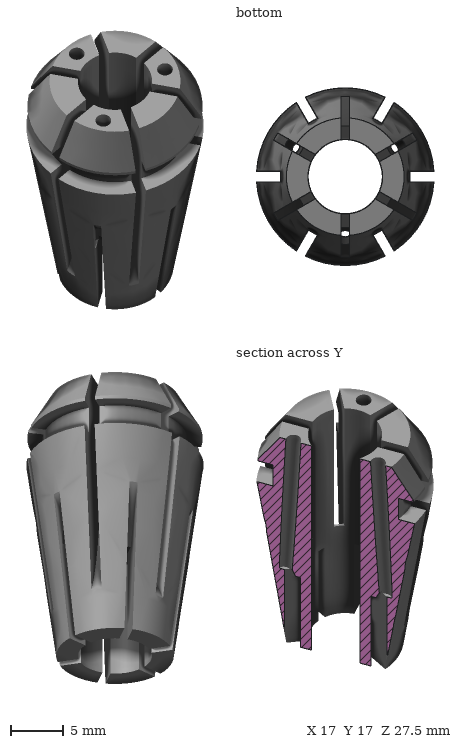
import cadquery as cq
import math


TOTAL_HEIGHT = 27.5
GROOVE_BOTTOM = 20.75
GROOVE_TOP = 23.5
RIM_HEIGHT = 0.35

SMALL_END_RADIUS = 5.63
BODY_RADIUS = 8.5
GROOVE_RADIUS = 6.95
RIM_RADIUS = 8.37
BORE_RADIUS = 3.55
NOSE_HALF_ANGLE = 30.0

SLOTS_PER_END = 6
SLOT_PITCH = 360.0 / SLOTS_PER_END
SAW_RADIUS = 25.0
OUTSIDE_RADIUS = BODY_RADIUS + 1.0

UPPER_SLOT_WIDTH = 1.0
UPPER_FLOOR_INNER = (3.76, 11.78)
UPPER_FLOOR_OUTER = (6.2, 4.0)

LOWER_SLOT_WIDTH = 0.8
LOWER_FLOOR_INNER = (4.85, 9.35)
LOWER_FLOOR_OUTER = (7.74, 14.97)

HOLE_COUNT = 3
HOLE_PITCH = 360.0 / HOLE_COUNT
HOLE_DIAMETER = 1.5
HOLE_CIRCLE_RADIUS = 5.0
HOLE_DEPTH = 17.6
HOLE_TILT = 3.0
DRILL_OVERRUN = 1.0
FIRST_HOLE_ANGLE = 90.0


def make_turned_body():
    """Revolve the outline: tapered body, groove, rim, conical nose and bore."""
    rim_top = GROOVE_TOP + RIM_HEIGHT
    nose_taper = (TOTAL_HEIGHT - rim_top) * math.tan(math.radians(NOSE_HALF_ANGLE))
    outline = [
        (BORE_RADIUS, 0),
        (SMALL_END_RADIUS, 0),
        (BODY_RADIUS, GROOVE_BOTTOM),
        (GROOVE_RADIUS, GROOVE_BOTTOM),
        (GROOVE_RADIUS, GROOVE_TOP),
        (RIM_RADIUS, GROOVE_TOP),
        (RIM_RADIUS, rim_top),
        (RIM_RADIUS - nose_taper, TOTAL_HEIGHT),
        (BORE_RADIUS, TOTAL_HEIGHT),
    ]
    return cq.Workplane("XZ").polyline(outline).close().revolve(360, (0, 0), (0, 1))


def saw_arc_midpoint(inner, outer):
    """Midpoint of the concave floor arc left by the saw disc between two points."""
    chord_r = outer[0] - inner[0]
    chord_z = outer[1] - inner[1]
    chord = math.hypot(chord_r, chord_z)
    sagitta = SAW_RADIUS - math.sqrt(SAW_RADIUS**2 - (chord / 2) ** 2)
    bow_r = -abs(chord_z) / chord * sagitta
    bow_z = math.copysign(chord_r, chord_z) / chord * sagitta
    return ((inner[0] + outer[0]) / 2 + bow_r, (inner[1] + outer[1]) / 2 + bow_z)


def make_slot(width, inner, outer, open_end):
    """Slot along +X, open at height open_end, with a flat then a sawn floor."""
    profile = (
        cq.Workplane("XZ")
        .moveTo(0, inner[1])
        .lineTo(*inner)
        .threePointArc(saw_arc_midpoint(inner, outer), outer)
        .lineTo(OUTSIDE_RADIUS, outer[1])
        .lineTo(OUTSIDE_RADIUS, open_end)
        .lineTo(0, open_end)
        .close()
    )
    return profile.extrude(width / 2, both=True)


def cut_slots(body, slot, first_angle):
    """Cut one ring of equally spaced slots."""
    for index in range(SLOTS_PER_END):
        angle = first_angle + index * SLOT_PITCH
        body = body.cut(slot.rotate((0, 0, 0), (0, 0, 1), angle))
    return body


def cut_holes(body):
    """Drill the blind holes from the top face, leaning outwards as they descend."""
    drill = (
        cq.Workplane("XY")
        .circle(HOLE_DIAMETER / 2)
        .extrude(HOLE_DEPTH + DRILL_OVERRUN)
        .translate((0, 0, -HOLE_DEPTH))
        .rotate((0, 0, 0), (0, 1, 0), -HOLE_TILT)
        .translate((HOLE_CIRCLE_RADIUS, 0, TOTAL_HEIGHT))
    )
    for index in range(HOLE_COUNT):
        angle = FIRST_HOLE_ANGLE + index * HOLE_PITCH
        body = body.cut(drill.rotate((0, 0, 0), (0, 0, 1), angle))
    return body


upper_slot = make_slot(UPPER_SLOT_WIDTH, UPPER_FLOOR_INNER, UPPER_FLOOR_OUTER, TOTAL_HEIGHT)
lower_slot = make_slot(LOWER_SLOT_WIDTH, LOWER_FLOOR_INNER, LOWER_FLOOR_OUTER, 0)

collet = make_turned_body()
collet = cut_slots(collet, upper_slot, 0)
collet = cut_slots(collet, lower_slot, SLOT_PITCH / 2)
result = cut_holes(collet)